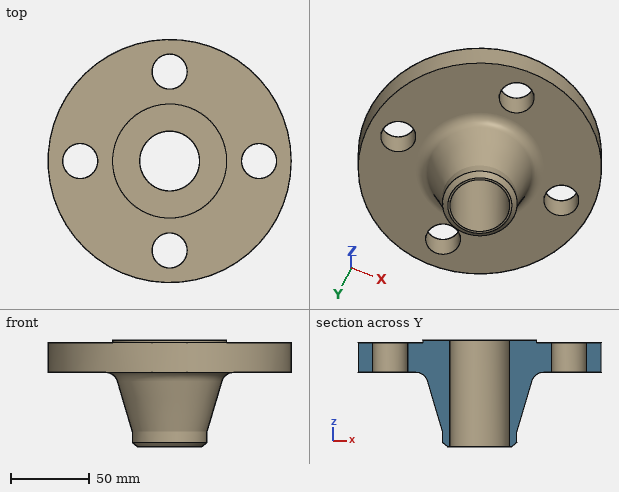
import cadquery as cq
import math

total_height = 68.3
flange_diameter = 155.5
flange_thickness = 19.1
raised_face_diameter = 73.0
raised_face_height = 1.5

neck_end_diameter = 47.8
neck_straight_top = 9.6
bevel_height = 2.8
bevel_width = 3.5

hub_base_diameter = 70.3
hub_fillet_radius = 7.8

bore_diameter = 38.1
bolt_hole_diameter = 22.2
bolt_circle_diameter = 114.3
bolt_count = 4

flange_radius = flange_diameter / 2
raised_face_radius = raised_face_diameter / 2
neck_radius = neck_end_diameter / 2
hub_radius = hub_base_diameter / 2
bore_radius = bore_diameter / 2
flange_top = total_height - raised_face_height
flange_bottom = flange_top - flange_thickness

cone_angle = math.atan2(hub_radius - neck_radius, flange_bottom - neck_straight_top)
turn_angle = math.pi / 2 - cone_angle
tangent_length = hub_fillet_radius * math.tan(turn_angle / 2)
fillet_start = (
    hub_radius - tangent_length * math.sin(cone_angle),
    flange_bottom - tangent_length * math.cos(cone_angle),
)
fillet_end = (hub_radius + tangent_length, flange_bottom)
fillet_middle = (
    fillet_end[0] - hub_fillet_radius * math.sin(turn_angle / 2),
    flange_bottom - hub_fillet_radius * (1 - math.cos(turn_angle / 2)),
)

body = (
    cq.Workplane("XZ")
    .moveTo(bore_radius, 0)
    .lineTo(neck_radius - bevel_width, 0)
    .lineTo(neck_radius, bevel_height)
    .lineTo(neck_radius, neck_straight_top)
    .lineTo(*fillet_start)
    .threePointArc(fillet_middle, fillet_end)
    .lineTo(flange_radius, flange_bottom)
    .lineTo(flange_radius, flange_top)
    .lineTo(raised_face_radius, flange_top)
    .lineTo(raised_face_radius, total_height)
    .lineTo(bore_radius, total_height)
    .close()
    .revolve(360, (0, 0, 0), (0, 1, 0))
)

bolt_holes = (
    cq.Workplane("XY")
    .workplane(offset=flange_bottom)
    .polarArray(bolt_circle_diameter / 2, 0, 360, bolt_count)
    .circle(bolt_hole_diameter / 2)
    .extrude(flange_thickness)
)

result = body.cut(bolt_holes)